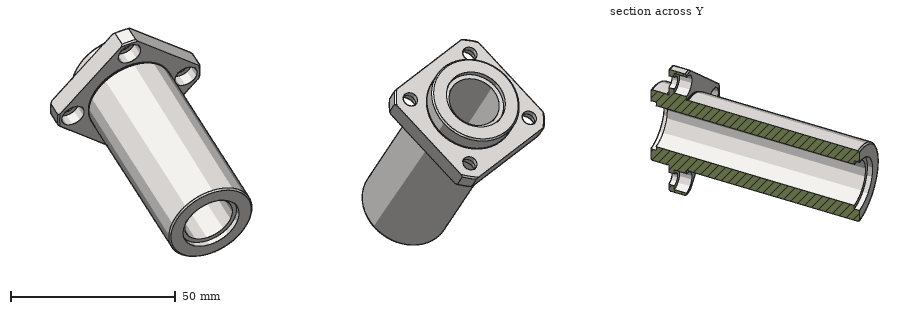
import math

import cadquery as cq

sleeve_length = 70.0
sleeve_diameter = 28.0
bore_diameter = 16.0
end_recess_diameter = 18.8
end_recess_depth = 1.75
sleeve_chamfer = 0.5

relief_width = 0.6
relief_depth = 0.22
relief_depth_at_flange = 0.1

flange_start = 6.0
flange_thickness = 6.0
flange_end = flange_start + flange_thickness
flange_across_flats = 37.0
flange_corner_diameter = 48.0
flange_chamfer = 0.5
flange_turn = 45.0

hole_count = 4
hole_circle_diameter = 38.0
hole_diameter = 4.5
counterbore_diameter = 7.5
counterbore_depth = 4.1


def x_cylinder(diameter, start, length, y=0.0, z=0.0):
    """Solid cylinder along +X whose first face is centred at (start, y, z)."""
    return cq.Workplane("YZ", origin=(start, y, z)).circle(diameter / 2).extrude(length)


def make_sleeve():
    """Solid sleeve with both ends chamfered and a relief on each side of the flange."""
    sleeve = x_cylinder(sleeve_diameter, 0, sleeve_length)
    sleeve = sleeve.faces("<X or >X").edges().chamfer(sleeve_chamfer)
    sleeve = sleeve.cut(make_relief(flange_start, -1))
    return sleeve.cut(make_relief(flange_end, 1))


def make_flange():
    """Square plate trimmed by a chamfered disc, so only its corners are chamfered."""
    disc = x_cylinder(flange_corner_diameter, flange_start, flange_thickness)
    disc = disc.faces("<X or >X").edges().chamfer(flange_chamfer)
    plate = (
        cq.Workplane("YZ", origin=(flange_start, 0, 0))
        .rect(flange_across_flats, flange_across_flats)
        .extrude(flange_thickness)
        .rotate((0, 0, 0), (1, 0, 0), flange_turn)
    )
    return disc.intersect(plate)


def make_relief(flange_face, direction):
    """V-shaped ring to be cut from the sleeve, reaching from a flange face along +X or -X."""
    outer_radius = sleeve_diameter / 2
    return (
        cq.Workplane("XY")
        .moveTo(flange_face, outer_radius)
        .lineTo(flange_face, outer_radius - relief_depth_at_flange)
        .lineTo(flange_face + direction * relief_width / 2, outer_radius - relief_depth)
        .lineTo(flange_face + direction * relief_width, outer_radius)
        .close()
        .revolve(360, (0, 0, 0), (1, 0, 0))
    )


def make_mounting_hole(angle):
    """Through hole with its counterbore on the long-sleeve side of the flange."""
    y = hole_circle_diameter / 2 * math.cos(angle)
    z = hole_circle_diameter / 2 * math.sin(angle)
    hole = x_cylinder(hole_diameter, flange_start, flange_thickness, y, z)
    counterbore_start = flange_end - counterbore_depth
    return hole.union(x_cylinder(counterbore_diameter, counterbore_start, counterbore_depth, y, z))


result = make_sleeve().union(make_flange())
result = result.cut(x_cylinder(bore_diameter, 0, sleeve_length))
for recess_start in (0, sleeve_length - end_recess_depth):
    result = result.cut(x_cylinder(end_recess_diameter, recess_start, end_recess_depth))
for index in range(hole_count):
    result = result.cut(make_mounting_hole(index * 2 * math.pi / hole_count))